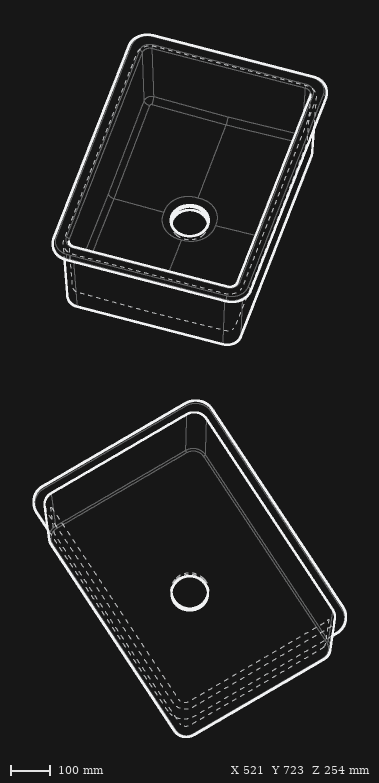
import cadquery as cq
import math

LENGTH = 723.0
WIDTH = 521.0
HEIGHT = 254.0

FLANGE_THICKNESS = 16.5
FLANGE_CORNER_RADIUS = 49.0
FLANGE_TOP_ROUND = 7.0
FLANGE_BOTTOM_ROUND = 3.5

DRAFT_ANGLE = 2.0

BODY_INSET = 24.0
BODY_CORNER_RADIUS = 36.0
BODY_BOTTOM_ROUND = 5.0

BASIN_INSET = 38.0
BASIN_CORNER_RADIUS = 19.5
BASIN_RIM_ROUND = 7.0
BASIN_FLOOR_ROUND = 15.0

FLOOR_LOWEST = 24.0
FLOOR_GRADE = 0.025

SEAT_DIAMETER = 136.0
SEAT_FOOT_DIAMETER = 96.0
SEAT_DEPTH = 6.5
DRAIN_DIAMETER = 92.0
DRAIN_CHAMFER_DEPTH = 4.0


def tapered_block(inset, corner_radius, top, depth):
    """Block that narrows downwards at the draft angle, with the same corner radius all the way."""
    block = (
        cq.Workplane("XY", origin=(0, 0, top))
        .rect(WIDTH - 2 * inset, LENGTH - 2 * inset)
        .extrude(-depth, taper=DRAFT_ANGLE)
    )
    return block.edges("not #Z").fillet(corner_radius)


def make_flange():
    """Rim plate whose rounded top edge reaches exactly the overall length and width."""
    half_edge_angle = math.radians(90 - DRAFT_ANGLE) / 2
    rounding_loss = FLANGE_TOP_ROUND * (1 / math.tan(half_edge_angle) - 1)
    flange = tapered_block(-rounding_loss, FLANGE_CORNER_RADIUS, HEIGHT, FLANGE_THICKNESS)
    return (
        flange
        .faces(">Z").edges().fillet(FLANGE_TOP_ROUND)
        .faces("<Z").edges().fillet(FLANGE_BOTTOM_ROUND)
    )


def make_body():
    """Drafted solid below the flange, with a rounded bottom edge."""
    flange_underside = HEIGHT - FLANGE_THICKNESS
    body = tapered_block(BODY_INSET, BODY_CORNER_RADIUS, flange_underside, flange_underside)
    return body.faces("<Z").edges().fillet(BODY_BOTTOM_ROUND)


def make_floor_envelope():
    """Inverted four-sided pyramid whose edges run along X and Y, point at the drain centre."""
    rise = HEIGHT
    reach = rise / FLOOR_GRADE
    corners = [(reach, 0), (0, reach), (-reach, 0), (0, -reach)]
    apex = cq.Vector(0, 0, FLOOR_LOWEST)
    top_corners = [cq.Vector(x, y, FLOOR_LOWEST + rise) for x, y in corners]
    faces = [cq.Face.makeFromWires(cq.Wire.makePolygon(top_corners, close=True))]
    for index, corner in enumerate(top_corners):
        previous = top_corners[index - 1]
        faces.append(cq.Face.makeFromWires(cq.Wire.makePolygon([apex, previous, corner], close=True)))
    return cq.Workplane(cq.Solid.makeSolid(cq.Shell.makeShell(faces)))


def make_basin():
    """Cutter for the basin: drafted walls, sloping floor and a round between them."""
    basin = tapered_block(BASIN_INSET, BASIN_CORNER_RADIUS, HEIGHT, HEIGHT)
    basin = basin.intersect(make_floor_envelope())
    zone_top = HEIGHT / 4
    seam_x = WIDTH / 4
    seam_y = LENGTH / 4
    near_floor = cq.selectors.BoxSelector((-WIDTH, -LENGTH, 0), (WIDTH, LENGTH, zone_top))
    seams = cq.selectors.BoxSelector((-seam_x, -seam_y, 0), (seam_x, seam_y, zone_top))
    return basin.edges(near_floor - seams).fillet(BASIN_FLOOR_ROUND)


def make_drain():
    """Revolved cutter: through hole, short lead-in chamfer, then the conical seat."""
    seat_top = FLOOR_LOWEST + FLOOR_GRADE * SEAT_DIAMETER / 2
    seat_foot = seat_top - SEAT_DEPTH
    hole_radius = DRAIN_DIAMETER / 2
    foot_radius = SEAT_FOOT_DIAMETER / 2
    seat_radius = SEAT_DIAMETER / 2
    overrun = 2.0
    cutter_top = seat_top + overrun * SEAT_DEPTH
    cutter_radius = seat_radius + overrun * (seat_radius - foot_radius)
    return (
        cq.Workplane("XZ")
        .polyline([
            (0, 0),
            (hole_radius, 0),
            (hole_radius, seat_foot - DRAIN_CHAMFER_DEPTH),
            (foot_radius, seat_foot),
            (cutter_radius, cutter_top),
            (0, cutter_top),
        ])
        .close()
        .revolve(360, (0, 0), (0, 1))
    )


bowl = make_body().union(make_flange()).cut(make_basin()).cut(make_drain())
basin_mouth = cq.selectors.BoxSelector(
    (BODY_INSET - WIDTH / 2, BODY_INSET - LENGTH / 2, HEIGHT - BASIN_RIM_ROUND),
    (WIDTH / 2 - BODY_INSET, LENGTH / 2 - BODY_INSET, HEIGHT + BASIN_RIM_ROUND),
)
result = bowl.edges(basin_mouth).fillet(BASIN_RIM_ROUND)